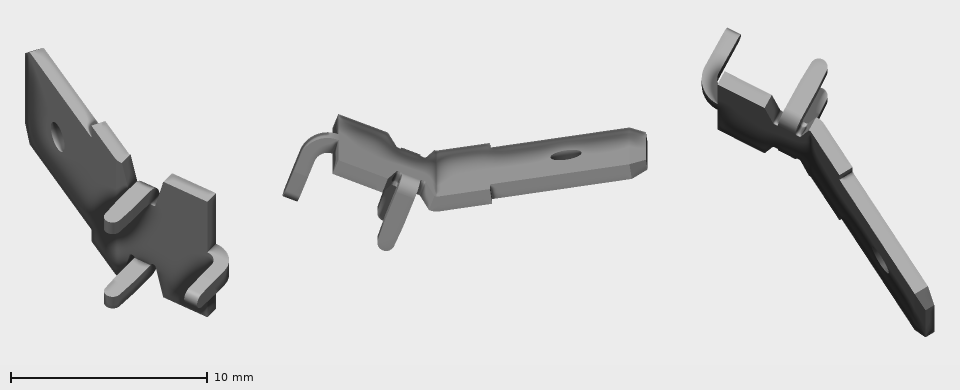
import cadquery as cq
import math

THICKNESS = 0.8
OVERALL_LENGTH = 16.52
PLATE_HEIGHT = 7.91
PLATE_HALF_HEIGHT = PLATE_HEIGHT / 2
OVERLAP = 0.17

BEND_ANGLE = 30
BEND_X = -1.37
BLADE_LENGTH = 10.77
BLADE_HALF_HEIGHT = 3.15
SHOULDER_LENGTH = 2.76
TIP_LENGTH = 0.83
TIP_THINNING = 0.13
TIP_CORNER = THICKNESS
HOLE_DIAMETER = 1.6
HOLE_DISTANCE = 6.67

PIN_HALF_WIDTH = 0.5
PIN_END_RADIUS = 0.45
PIN_REACH = 3.15
PIN_TAPER_START = 1.6
SIDE_PIN_INNER_Z = 2.15
END_PIN_BEND_RADIUS = 0.71

TIP_LEFT_X = (
    BEND_X
    - BLADE_LENGTH * math.cos(math.radians(BEND_ANGLE))
    - (THICKNESS - TIP_THINNING) * math.sin(math.radians(BEND_ANGLE))
)
PLATE_RIGHT = TIP_LEFT_X + OVERALL_LENGTH - END_PIN_BEND_RADIUS - THICKNESS

NOTCH_MOUTH_X = 1.27
NOTCH_FLOOR_X = 0.78
NOTCH_FLOOR_Z = 2.02
NOTCH_ROUND = 0.12


def make_base_plate():
    """Flat plate with a pair of notches and no metal above the side pin roots."""
    plate = cq.Workplane("XY").box(
        PLATE_RIGHT - BEND_X, THICKNESS, PLATE_HEIGHT, centered=(False, False, True)
    ).translate((BEND_X, 0, 0))
    opening = (
        cq.Workplane("XZ")
        .polyline([
            (-NOTCH_MOUTH_X, PLATE_HALF_HEIGHT),
            (-NOTCH_FLOOR_X, NOTCH_FLOOR_Z),
            (NOTCH_FLOOR_X, NOTCH_FLOOR_Z),
            (NOTCH_MOUTH_X, PLATE_HALF_HEIGHT),
        ])
        .close()
        .extrude(-THICKNESS)
    )
    pin_root = cq.Workplane("XY").box(
        2 * PIN_HALF_WIDTH, THICKNESS, PLATE_HALF_HEIGHT, centered=(True, False, False)
    )
    notches = opening.cut(pin_root).edges("|Y and <Z").fillet(NOTCH_ROUND)
    above_root = pin_root.translate((0, 0, SIDE_PIN_INNER_Z))
    top_cut = notches.union(above_root)
    return plate.cut(top_cut).cut(top_cut.mirror("XY"))


def make_blade():
    """Shouldered blade along -X, bent about the rear edge of the plate."""
    outline = [
        (0, PLATE_HALF_HEIGHT),
        (-SHOULDER_LENGTH, PLATE_HALF_HEIGHT),
        (-SHOULDER_LENGTH, BLADE_HALF_HEIGHT),
        (TIP_LENGTH - BLADE_LENGTH, BLADE_HALF_HEIGHT),
        (-BLADE_LENGTH, BLADE_HALF_HEIGHT - TIP_CORNER),
    ]
    lower_outline = [(x, -z) for x, z in reversed(outline)]
    blade = cq.Workplane("XZ").polyline(outline + lower_outline).close().extrude(-THICKNESS)
    side_profile = (
        cq.Workplane("XY")
        .polyline([
            (0, 0),
            (TIP_LENGTH - BLADE_LENGTH, 0),
            (-BLADE_LENGTH, TIP_THINNING),
            (-BLADE_LENGTH, THICKNESS - TIP_THINNING),
            (TIP_LENGTH - BLADE_LENGTH, THICKNESS),
            (0, THICKNESS),
        ])
        .close()
        .extrude(PLATE_HALF_HEIGHT, both=True)
    )
    hole = (
        cq.Workplane("XZ", origin=(-HOLE_DISTANCE, -OVERLAP, 0))
        .circle(HOLE_DIAMETER / 2)
        .extrude(-THICKNESS - 2 * OVERLAP)
    )
    blade = blade.intersect(side_profile).cut(hole)
    return blade.rotate((0, THICKNESS, 0), (0, THICKNESS, 1), -BEND_ANGLE).translate((BEND_X, 0, 0))


def make_blade_bend():
    """Wedge of metal with a round front and a sharp rear corner."""
    half_angle = math.radians(BEND_ANGLE / 2)
    full_angle = math.radians(BEND_ANGLE)

    def on_arc(angle):
        return (BEND_X - THICKNESS * math.sin(angle), THICKNESS * (1 - math.cos(angle)))

    return (
        cq.Workplane("XY")
        .moveTo(BEND_X, THICKNESS)
        .lineTo(BEND_X, 0)
        .threePointArc(on_arc(half_angle), on_arc(full_angle))
        .close()
        .extrude(PLATE_HALF_HEIGHT, both=True)
    )


def make_pin(root_y):
    """Tapered, round-ended pin pointing along -Y; its thickness runs up from Z = 0."""
    arc_y = PIN_END_RADIUS - PIN_REACH
    return (
        cq.Workplane("XY")
        .moveTo(-PIN_HALF_WIDTH, root_y)
        .lineTo(-PIN_HALF_WIDTH, -PIN_TAPER_START)
        .lineTo(-PIN_END_RADIUS, arc_y)
        .threePointArc((0, -PIN_REACH), (PIN_END_RADIUS, arc_y))
        .lineTo(PIN_HALF_WIDTH, -PIN_TAPER_START)
        .lineTo(PIN_HALF_WIDTH, root_y)
        .close()
        .extrude(THICKNESS)
    )


def make_pin_bend(inner_radius):
    """Quarter bend from the plate at Z = 0 to a pin that starts at Y = -inner_radius."""
    outer_radius = inner_radius + THICKNESS
    ring = (
        cq.Workplane("YZ", origin=(-PIN_HALF_WIDTH, -inner_radius, 0))
        .circle(outer_radius)
        .extrude(2 * PIN_HALF_WIDTH)
    )
    if inner_radius > 0:
        ring = ring.faces(">X").workplane(origin=(0, -inner_radius, 0)).hole(2 * inner_radius)
    quarter = cq.Workplane("XY").box(
        2 * PIN_HALF_WIDTH, outer_radius, outer_radius, centered=(True, False, False)
    ).translate((0, -inner_radius, 0))
    return ring.intersect(quarter)


def make_bent_pin(inner_radius):
    """Bend and pin, leaving the plate at Z = 0."""
    pin = make_pin(-inner_radius).translate((0, 0, inner_radius))
    return make_pin_bend(inner_radius).union(pin)


side_pin = make_bent_pin(0).translate((0, 0, SIDE_PIN_INNER_Z))
end_pin = (
    make_bent_pin(END_PIN_BEND_RADIUS)
    .rotate((0, 0, 0), (0, 1, 0), 90)
    .translate((PLATE_RIGHT, 0, 0))
)

result = (
    make_base_plate()
    .union(make_blade_bend())
    .union(make_blade())
    .union(side_pin)
    .union(side_pin.mirror("XY"))
    .union(end_pin)
)